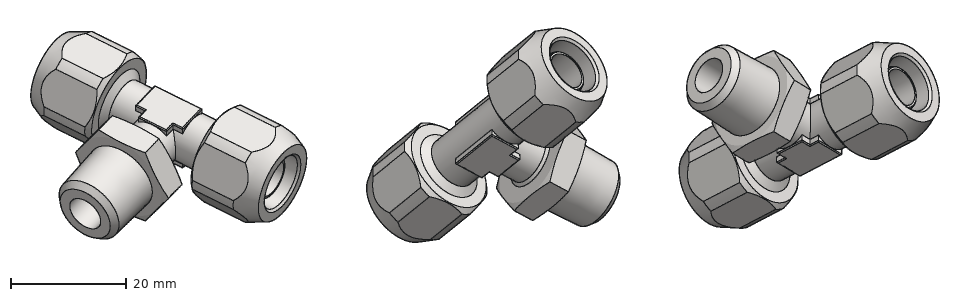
import cadquery as cq
import math


run_length = 48.0
thread_end = 25.5
across_flats = 17.0
hex_corner_diameter = across_flats / math.cos(math.pi / 6)

tube_radius = 4.75
collar_slope = 1.5
run_bore_radius = 3.4
branch_bore_radius = 3.25

nut_length = 13.55
nut_corner_radius = 18.5 / 2
nut_mouth_radius = 7.4
nut_mouth_cone_length = 4.05
nut_back_chamfer = 0.85
nut_collar_length = 1.05
socket_radius = 5.15
socket_chamfer = 0.45
socket_depth = nut_length / 2

nipple_tip_depth = 2.1
nipple_tip_radius = 3.8
nipple_lead_radius = 4.0
nipple_barb_radius = 4.25
nipple_barb_length = 0.95

hex_start = 9.75
hex_length = 4.85
hex_chamfer_angle = 15.0
hex_collar_length = 0.45

thread_base_radius = 6.6
thread_taper = 1 / 32
tip_chamfer_length = 1.15
tip_radius = 5.3

pad_half_width = 5.0
pad_half_height = 5.0
pad_shoulder = 3.0
pad_stem_half_width = 3.0
pad_edge_chamfer = 0.2


def turned(profile):
    """Solid of revolution about X from (x, radius) points."""
    return cq.Workplane("XY").polyline(profile).close().revolve(360, (0, 0, 0), (1, 0, 0))


def hex_bar(start, length):
    """Hexagonal bar along X with two flats facing +Z and -Z."""
    return cq.Workplane("YZ").workplane(offset=start).polygon(6, hex_corner_diameter).extrude(length)


def to_branch(solid):
    """Swing a solid built along +X round to the branch direction, -Y."""
    return solid.rotate((0, 0, 0), (0, 0, 1), -90)


def union_nut():
    """Nut on the +X end, with the flared collar of the body behind it."""
    mouth = run_length / 2
    back = mouth - nut_length
    envelope = turned([
        (back, 0),
        (back, nut_corner_radius - nut_back_chamfer),
        (back + nut_back_chamfer, nut_corner_radius),
        (mouth - nut_mouth_cone_length, nut_corner_radius),
        (mouth, nut_mouth_radius),
        (mouth, 0),
    ])
    collar = turned([
        (back - nut_collar_length, 0),
        (back - nut_collar_length, tube_radius),
        (back, tube_radius + collar_slope * nut_collar_length),
        (back, 0),
    ])
    return hex_bar(back, nut_length).intersect(envelope).union(collar)


def nut_socket():
    """Tube socket in the +X end, ring-shaped around the barbed nipple."""
    mouth = run_length / 2
    floor = mouth - socket_depth
    nipple_tip = mouth - nipple_tip_depth
    lead_end = nipple_tip - (nipple_lead_radius - nipple_tip_radius)
    return turned([
        (mouth, 0),
        (mouth, socket_radius + socket_chamfer),
        (mouth - socket_chamfer, socket_radius),
        (floor, socket_radius),
        (floor, nipple_barb_radius),
        (lead_end - nipple_barb_length, nipple_barb_radius),
        (lead_end, nipple_lead_radius),
        (nipple_tip, nipple_tip_radius),
        (nipple_tip, 0),
    ])


def body_hexagon():
    """Hexagon on the branch with both faces chamfered to the inscribed circle."""
    end = hex_start + hex_length
    flat_radius = across_flats / 2
    corner_radius = hex_corner_diameter / 2
    chamfer_length = (corner_radius - flat_radius) * math.tan(math.radians(hex_chamfer_angle))
    envelope = turned([
        (hex_start, 0),
        (hex_start, flat_radius),
        (hex_start + chamfer_length, corner_radius),
        (end - chamfer_length, corner_radius),
        (end, flat_radius),
        (end, 0),
    ])
    return hex_bar(hex_start, hex_length).intersect(envelope)


def branch_spigot():
    """Branch tube, collar under the hexagon and taper thread as one turned piece."""
    thread_start = hex_start + hex_length
    chamfer_start = thread_end - tip_chamfer_length
    return turned([
        (0, 0),
        (0, tube_radius),
        (hex_start - hex_collar_length, tube_radius),
        (hex_start, tube_radius + collar_slope * hex_collar_length),
        (thread_start, thread_base_radius),
        (chamfer_start, thread_base_radius - thread_taper * (chamfer_start - thread_start)),
        (thread_end, tip_radius),
        (thread_end, 0),
    ])


def wrench_pads():
    """T-shaped block standing just proud of the tubes on top and bottom."""
    return (
        cq.Workplane("XY")
        .workplane(offset=-pad_half_height)
        .moveTo(-pad_half_width, pad_shoulder)
        .lineTo(pad_half_width, pad_shoulder)
        .lineTo(pad_half_width, -pad_shoulder)
        .lineTo(pad_stem_half_width, -pad_shoulder)
        .lineTo(pad_stem_half_width, -pad_half_width)
        .lineTo(-pad_stem_half_width, -pad_half_width)
        .lineTo(-pad_stem_half_width, -pad_shoulder)
        .lineTo(-pad_half_width, -pad_shoulder)
        .close()
        .extrude(2 * pad_half_height)
        .faces("<Z or >Z")
        .chamfer(pad_edge_chamfer)
    )


run_tube_half_length = run_length / 2 - nut_length
run_tube = (
    cq.Workplane("YZ")
    .workplane(offset=-run_tube_half_length)
    .circle(tube_radius)
    .extrude(2 * run_tube_half_length)
)
run_bore = (
    cq.Workplane("YZ")
    .workplane(offset=-run_length / 2)
    .circle(run_bore_radius)
    .extrude(run_length)
)
branch_bore = cq.Workplane("XZ").circle(branch_bore_radius).extrude(thread_end)

nut = union_nut()
socket = nut_socket()

result = (
    run_tube
    .union(to_branch(branch_spigot()))
    .union(to_branch(body_hexagon()))
    .union(wrench_pads())
    .union(nut)
    .union(nut.mirror("YZ"))
    .cut(run_bore)
    .cut(branch_bore)
    .cut(socket)
    .cut(socket.mirror("YZ"))
)